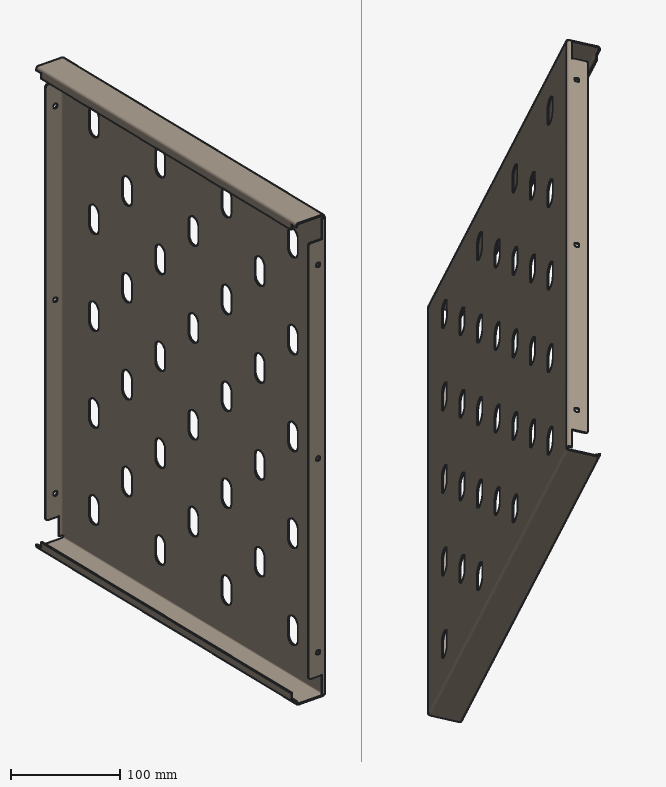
import cadquery as cq

width = 398.0
depth = 33.0
height = 498.0

thickness = 1.5
inner_radius = 1.5
outer_radius = inner_radius + thickness

flange_width = 392.5
lip_width = 377.5
lip_height = 9.5
lip_shoulder = 4.0

tab_depth = 20.5
tab_height = 450.0
tab_corner_radius = 2.5
stub_depth = 5.0
corner_relief = 3.0

screw_diameter = 5.0
screw_pitch = 200.0
screw_offset = 9.5

slot_width = 15.0
slot_length = 30.0
slot_pitch = 100.0
slot_columns = 4
slot_rows = 5

back = depth / 2
front = -depth / 2


def centred_box(size_x, y_start, y_end, size_z):
    """Box centred in X and Z, spanning y_start to y_end."""
    return cq.Workplane("XY").box(size_x, y_end - y_start, size_z).translate((0, (y_start + y_end) / 2, 0))


def lipped_channel():
    """Panel with its top and bottom flanges and lips, bent from one sheet."""
    outside = centred_box(flange_width, front, back, height).edges("|X").fillet(outer_radius)
    inside = centred_box(flange_width, front + thickness, back - thickness, height - 2 * thickness)
    inside = inside.edges("|X").fillet(inner_radius)
    opening = centred_box(flange_width, front, front + thickness, height - 2 * lip_height)
    channel = outside.cut(inside).cut(opening)

    lip_zone = centred_box(flange_width, front, front + outer_radius, height - 2 * lip_shoulder)
    lip_keep = centred_box(lip_width, front, front + outer_radius, height - 2 * lip_shoulder)
    return channel.cut(lip_zone.cut(lip_keep))


def side_channel():
    """Panel with both side flanges, bent from one sheet."""
    length = height - 2 * corner_relief
    tab_front = back - tab_depth
    outside = centred_box(width, tab_front, back, length).edges("|Z and >Y").fillet(outer_radius)
    inside = centred_box(width - 2 * thickness, tab_front, back - thickness, length)
    inside = inside.edges("|Z and >Y").fillet(inner_radius)

    stub = centred_box(width, back - stub_depth, back, length)
    tab = centred_box(width, tab_front, back, tab_height).edges("|X and <Y").fillet(tab_corner_radius)
    return outside.cut(inside).intersect(stub.union(tab))


def screw_holes():
    """Cross bores through both side tabs."""
    centres = [(back - screw_offset, i * screw_pitch) for i in (-1, 0, 1)]
    return cq.Workplane("YZ").pushPoints(centres).circle(screw_diameter / 2).extrude(width / 2, both=True)


def slot_grid(columns, rows):
    """Centred grid of upright slots through the panel."""
    return (
        cq.Workplane("XZ")
        .rarray(slot_pitch, slot_pitch, columns, rows)
        .slot2D(slot_length, slot_width, 90)
        .extrude(depth, both=True)
    )


result = (
    lipped_channel()
    .union(side_channel())
    .cut(screw_holes())
    .cut(slot_grid(slot_columns, slot_rows))
    .cut(slot_grid(slot_columns - 1, slot_rows - 1))
)